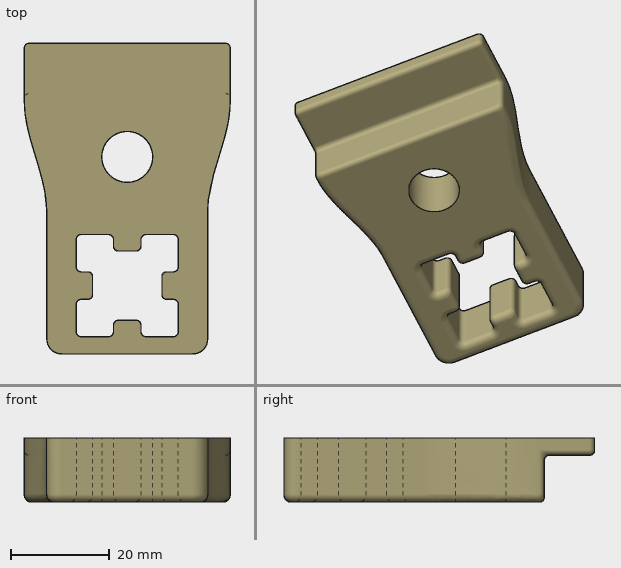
import cadquery as cq

length = 62.85
flange_width = 41.7
height = 13.0

neck_width = 32.55
neck_corner_radius = 3.0
flare_start = 28.9
flare_length = 22.0
flange_corner_radius = 1.0

flange_thickness = 3.5
flange_overhang = 10.2
body_back = length - flange_overhang
underside_z = height - flange_thickness

bottom_radius = 1.5
step_radius = 1.0

hole_diameter = 10.25
hole_y = 39.85

window_size = 20.6
window_y = 13.8
rib_width = 5.6
rib_depth = 3.3
window_corner_radius = 1.0

select_margin = 0.05


def plan_blank():
    """Full-height blank with the flared plan outline; front edge on y = 0, bottom on z = 0."""
    neck_x = neck_width / 2
    flange_x = flange_width / 2
    flare_end = flare_start + flare_length
    pull = flare_length / 3
    return (
        cq.Workplane("XY")
        .moveTo(-neck_x, 0)
        .lineTo(neck_x, 0)
        .lineTo(neck_x, flare_start)
        .bezier([
            (neck_x, flare_start),
            (neck_x, flare_start + pull),
            (flange_x, flare_end - pull),
            (flange_x, flare_end),
        ])
        .lineTo(flange_x, length)
        .lineTo(-flange_x, length)
        .lineTo(-flange_x, flare_end)
        .bezier([
            (-flange_x, flare_end),
            (-flange_x, flare_end - pull),
            (-neck_x, flare_start + pull),
            (-neck_x, flare_start),
        ])
        .close()
        .extrude(height)
        .edges("|Z and <Y").fillet(neck_corner_radius)
        .edges("|Z and >Y").fillet(flange_corner_radius)
    )


def space_under_flange():
    """Block removed below the overhanging flange."""
    return (
        cq.Workplane("XY")
        .box(flange_width, flange_overhang, underside_z, centered=(True, False, False))
        .translate((0, body_back, 0))
    )


def window():
    """Square cutter with a rib notched into each side and every upright edge rounded."""
    cutter = cq.Workplane("XY").rect(window_size, window_size).extrude(height)
    rib = (
        cq.Workplane("XY")
        .center(window_size / 2 - rib_depth / 2, 0)
        .rect(rib_depth, rib_width)
        .extrude(height)
    )
    for quarter_turn in range(4):
        cutter = cutter.cut(rib.rotate((0, 0, 0), (0, 0, 1), 90 * quarter_turn))
    return cutter.edges("|Z").fillet(window_corner_radius).translate((0, window_y, 0))


def round_lower_edges(body):
    """Round the bottom rim, then the outer edges below the flange, then the inside corner of the step."""
    step_edges = cq.selectors.BoxSelector(
        (-flange_width, body_back - select_margin, -select_margin),
        (flange_width, length + select_margin, underside_z + select_margin),
    )
    inside_corner = cq.selectors.BoxSelector(
        (-select_margin, body_back - select_margin, underside_z - select_margin),
        (select_margin, body_back + select_margin, underside_z + select_margin),
    )
    return (
        body.faces("<Z").edges("not >Y").fillet(bottom_radius)
        .edges(step_edges - inside_corner).fillet(step_radius)
        .edges(inside_corner).fillet(step_radius)
    )


def round_hole():
    """Cutter for the round through hole."""
    return cq.Workplane("XY").center(0, hole_y).circle(hole_diameter / 2).extrude(height)


def round_window_rim(body):
    """Round the bottom edge of the window."""
    reach = window_size / 2 + select_margin
    rim_edges = cq.selectors.BoxSelector(
        (-reach, window_y - reach, -select_margin),
        (reach, window_y + reach, select_margin),
    )
    return body.edges(rim_edges).fillet(bottom_radius)


stepped_body = plan_blank().cut(space_under_flange())
windowed_body = round_lower_edges(stepped_body).cut(window())
result = round_window_rim(windowed_body).cut(round_hole())